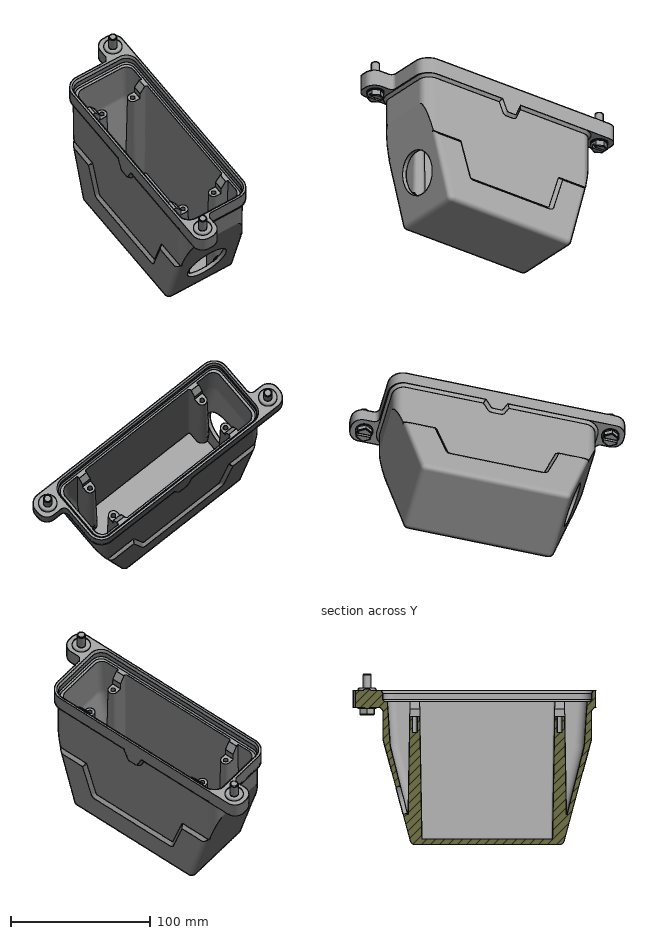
import cadquery as cq
import math

floor_top = 4.2
panel_top = 52.7
taper_top = 76.6
flange_bottom = 98.8
flange_top = 111.2
screw_top = 122.7
flange_height = flange_top - flange_bottom

end_slope = math.tan(math.radians(15))
body_length = 150.5
body_width = 53.3
body_corner = 8.7
base_length = body_length - 2 * taper_top * end_slope
base_edge_radius = 4.0

panel_width = 58.0
panel_rise = (panel_width - body_width) / 2
panel_bevel = 47
cut_margin = 0.2
notch_top_half = 44.2
notch_bottom_half = 35.3
notch_bottom = 24.7
notch_corner = 1.5

flange_length = 156.3
flange_width = 57.9
flange_corner = 11.2
neck_flare = 2.1
overall_length = 193.0
ear_width = 19.1
ear_corner = 8.1
ear_root_radius = 3.9

tab_top_half = 8.1
tab_bottom_half = 3.9
tab_bottom = 89.4
tab_bevel = 2.1
tab_corner = 1.5

recess_length = 152.5
recess_width = 54.5
recess_corner = 9.3
lead_in_depth = 2.3
recess_wall_depth = 4.5
recess_bevel_depth = 1.2
recess_step = 1.2
ledge = flange_top - lead_in_depth - recess_wall_depth - recess_bevel_depth

cavity_length = 143.5
cavity_width = 46.7
cavity_corner = 6.5
cavity_draft = 1.2
cavity_floor_length = 105.8
cavity_end_half = 69.7
cavity_slope_top = 71.0
cavity_slope_blend = 14.5

post_x = 52.1
post_screw_y = 13.3
post_base_radius = 5.2
post_draft = 1.0
post_seat = 92.5
post_back_y = 25.5
post_shoulder_y = 17.4
post_shoulder_top = 97.9
post_ramp_y = 21.5
post_hole_diameter = 3.3
post_hole_depth = 11.5
post_root_radius = 1.4

entry_diameter = 33.2
entry_z = 31.7
entry_reach = 7.7

screw_x = 86.5
screw_y = (flange_width - ear_width) / 2
shaft_diameter = 6.0
shaft_chamfer = 0.5
ring_radius = 4.8
ring_thickness_radius = 1.83
washer_diameter = 12.7
washer_thickness = 0.8
head_across_flats = 10.5
head_bottom = 93.5
head_chamfer = 0.5
head_slot_width = 1.7
head_slot_depth = 2.3


def rounded_block(length, width, corner, bottom, height, taper=0):
    """Upright block with rounded corners; a positive height grows upwards."""
    outline = cq.Sketch().rect(length, width).vertices().fillet(corner)
    return cq.Workplane("XY").workplane(offset=bottom).placeSketch(outline).extrude(height, taper=taper)


def end_profile(points, width):
    """Prism along Y, mirrored about X = 0, from the +X half of its XZ outline."""
    outline = points + [(-x, z) for x, z in reversed(points)]
    return cq.Workplane("XZ").polyline(outline).close().extrude(width / 2, both=True)


def with_half_turn(solid):
    """The solid together with its copy turned half a turn about Z."""
    return solid.union(solid.rotate((0, 0, 0), (0, 0, 1), 180))


def outer_half_length(z):
    return base_length / 2 + z * end_slope


def make_upper_body():
    walls = rounded_block(body_length, body_width, body_corner, panel_top, flange_bottom - panel_top)
    limits = [
        (outer_half_length(0), 0),
        (body_length / 2, taper_top),
        (body_length / 2, flange_top),
    ]
    return walls.intersect(end_profile(limits, panel_width))


def make_panel():
    limits = [(outer_half_length(0), 0), (outer_half_length(panel_top), panel_top)]
    panel = end_profile(limits, panel_width)
    panel = panel.faces("<X or >X or <Z").edges("not >Z").fillet(base_edge_radius)
    outline = [
        (-body_length, panel_top),
        (-notch_top_half, panel_top),
        (-notch_bottom_half, notch_bottom),
        (notch_bottom_half, notch_bottom),
        (notch_top_half, panel_top),
        (body_length, panel_top),
        (body_length, flange_top),
        (-body_length, flange_top),
        (-body_length, panel_top),
    ]
    border = cq.Sketch().polygon(outline).vertices("not (<X or >X)").fillet(notch_corner)
    cutter = (
        cq.Workplane("XZ", origin=(0, -body_width / 2, 0))
        .placeSketch(border)
        .extrude(panel_rise + cut_margin, taper=-panel_bevel)
    )
    return panel.cut(with_half_turn(cutter))


def make_flange():
    rim = rounded_block(flange_length, flange_width, flange_corner, flange_bottom, flange_height)
    ear_length = overall_length / 2
    ear = (
        cq.Workplane("XY", origin=(ear_length / 2, -screw_y, flange_bottom))
        .rect(ear_length, ear_width)
        .extrude(flange_height)
        .edges("|Z and >X")
        .fillet(ear_corner)
    )
    flange = rim.union(with_half_turn(ear))
    root_y = ear_width - flange_width / 2
    for side in (1, -1):
        root = cq.selectors.NearestToPointSelector(
            (side * flange_length / 2, side * root_y, flange_bottom + flange_height / 2)
        )
        flange = flange.edges("|Z").edges(root).fillet(ear_root_radius)
    neck = rounded_block(
        body_length + 2 * neck_flare,
        body_width + 2 * neck_flare,
        body_corner + neck_flare,
        flange_bottom,
        -neck_flare,
        taper=45,
    )
    return flange.union(neck)


def make_tabs():
    outline = [
        (-tab_top_half, flange_bottom),
        (-tab_bottom_half, tab_bottom),
        (tab_bottom_half, tab_bottom),
        (tab_top_half, flange_bottom),
    ]
    face = cq.Sketch().polygon(outline + outline[:1]).vertices("<Y").fillet(tab_corner)
    depth = (flange_width - body_width) / 2
    tab = (
        cq.Workplane("XZ", origin=(0, -flange_width / 2, 0))
        .placeSketch(face)
        .extrude(-depth, taper=-math.degrees(math.atan(tab_bevel / depth)))
    )
    return with_half_turn(tab)


def make_rim_recess():
    step_angle = math.degrees(math.atan(recess_step / lead_in_depth))
    bevel_angle = math.degrees(math.atan(recess_step / recess_bevel_depth))
    lead_in = rounded_block(
        recess_length, recess_width, recess_corner, flange_top, -lead_in_depth, taper=step_angle
    )
    inner_length = recess_length - 2 * recess_step
    inner_width = recess_width - 2 * recess_step
    inner_corner = recess_corner - recess_step
    wall_top = flange_top - lead_in_depth
    wall = rounded_block(inner_length, inner_width, inner_corner, wall_top, -recess_wall_depth)
    bevel = rounded_block(
        inner_length,
        inner_width,
        inner_corner,
        wall_top - recess_wall_depth,
        -recess_bevel_depth,
        taper=bevel_angle,
    )
    return lead_in.union(wall).union(bevel)


def make_cavity():
    pocket = (
        cq.Workplane("XY", origin=(0, 0, ledge))
        .rect(cavity_length, cavity_width)
        .extrude(floor_top - ledge, taper=cavity_draft)
    )
    limits = [
        (cavity_floor_length / 2, floor_top),
        (cavity_end_half, cavity_slope_top),
        (cavity_length / 2, ledge),
    ]
    cavity = pocket.intersect(end_profile(limits, panel_width))
    for side in (-1, 1):
        slope_start = cq.selectors.NearestToPointSelector((side * cavity_end_half, 0, cavity_slope_top))
        cavity = cavity.edges(slope_start).fillet(cavity_slope_blend)
    return cavity.edges("not #Z").fillet(cavity_corner)


def make_post():
    """Drafted round-nosed post on the -Y wall, with a ramped shoulder behind its screw seat."""
    nose_y = -post_screw_y
    column = (
        cq.Workplane("XY", origin=(0, 0, floor_top))
        .moveTo(-post_base_radius, -post_back_y)
        .lineTo(post_base_radius, -post_back_y)
        .lineTo(post_base_radius, nose_y)
        .threePointArc((0, nose_y + post_base_radius), (-post_base_radius, nose_y))
        .close()
        .extrude(ledge - floor_top, taper=post_draft)
    )
    shoulder_cut = (
        cq.Workplane("YZ")
        .polyline(
            [
                (0, post_seat),
                (-post_shoulder_y, post_seat),
                (-post_shoulder_y, post_shoulder_top),
                (-post_ramp_y, ledge),
                (0, ledge),
            ]
        )
        .close()
        .extrude(post_base_radius, both=True)
    )
    hole = (
        cq.Workplane("XY", origin=(0, nose_y, post_seat))
        .circle(post_hole_diameter / 2)
        .extrude(-post_hole_depth)
    )
    return column.cut(shoulder_cut).cut(hole)


def make_cavity_with_posts():
    """Empty space of the cavity, with the posts left standing and their inner roots rounded."""
    space = make_cavity()
    post = make_post()
    for x in (-post_x, post_x):
        space = space.cut(with_half_turn(post.translate((x, 0, 0))))
    root_x = post_x - post_base_radius
    root_z = (floor_top + ledge) / 2
    for side_x in (-1, 1):
        for side_y in (-1, 1):
            near_root = (side_x * root_x, side_y * cavity_width / 2, root_z)
            root = cq.selectors.NearestToPointSelector(near_root)
            space = space.edges("not #Z").edges(root).fillet(post_root_radius)
    return space


def make_cable_entry():
    """Round cutter square to the sloped end wall."""
    angle = math.atan(end_slope)
    outward = (math.cos(angle), 0, -math.sin(angle))
    centre = (outer_half_length(entry_z), 0, entry_z)
    plane = cq.Plane(origin=centre, xDir=(0, 1, 0), normal=outward)
    return cq.Workplane(plane).circle(entry_diameter / 2).extrude(entry_reach / 2, both=True)


def make_screw():
    """Captive screw at the origin of X and Y: shaft, rubber ring, washer and slotted hex head."""
    shaft = (
        cq.Workplane("XY", origin=(0, 0, head_bottom + head_slot_depth))
        .circle(shaft_diameter / 2)
        .extrude(screw_top - head_bottom - head_slot_depth)
        .faces(">Z")
        .chamfer(shaft_chamfer)
    )
    ring = cq.Workplane(cq.Solid.makeTorus(ring_radius, ring_thickness_radius, cq.Vector(0, 0, flange_top)))
    washer = (
        cq.Workplane("XY", origin=(0, 0, flange_bottom))
        .circle(washer_diameter / 2)
        .extrude(-washer_thickness)
    )
    across_corners = head_across_flats / math.cos(math.pi / 6)
    head = (
        cq.Workplane("XY", origin=(0, 0, head_bottom))
        .transformed(rotate=(0, 0, 90))
        .polygon(6, across_corners)
        .extrude(flange_bottom - head_bottom)
        .faces("<Z")
        .chamfer(head_chamfer)
    )
    slot = (
        cq.Workplane("XY", origin=(0, 0, head_bottom))
        .rect(across_corners, head_slot_width)
        .extrude(head_slot_depth)
    )
    return head.cut(slot).union(washer).union(shaft).union(ring)


hood = make_upper_body().union(make_panel()).union(make_flange()).union(make_tabs())
hood = hood.cut(make_rim_recess()).cut(make_cavity_with_posts()).cut(make_cable_entry())
result = hood.union(with_half_turn(make_screw().translate((screw_x, -screw_y, 0))))